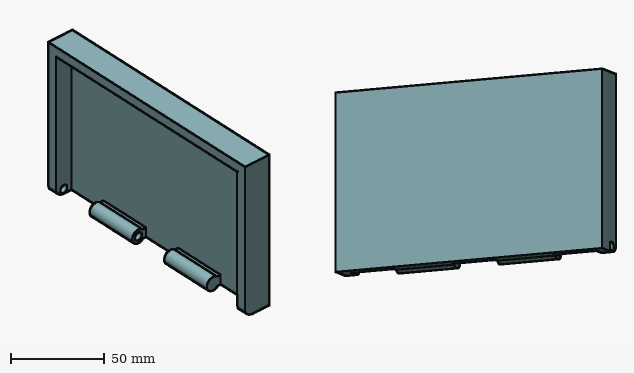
import cadquery as cq

width = 158.2
depth = 17.4
height = 99.2

wall = 6.3
recess_depth = 11.0
foot_radius = 5.0

barrel_drop = 1.5
barrel_radius = 4.5
barrel_length = 34.3
barrel_inset = 32.0
pin_diameter = 4.9
axis_y = 5.5
axis_z = barrel_radius - barrel_drop
neck_step = 1.3
neck_height = axis_z + barrel_radius - neck_step
frame_height = height - barrel_drop


def make_frame():
    """Panel with a rim on the top and both sides, open at the front and bottom."""
    block = cq.Workplane("XY").box(width, depth, frame_height, centered=False)
    block = block.edges("|X and <Y and <Z").fillet(foot_radius)
    recess = (
        cq.Workplane("XY")
        .box(width - 2 * wall, recess_depth, frame_height - wall, centered=False)
        .translate((wall, 0, 0))
    )
    return block.cut(recess)


def make_barrel(start_x):
    """Solid hinge barrel with a flat neck joining it to the panel."""
    barrel = (
        cq.Workplane("YZ", origin=(start_x, 0, 0))
        .center(axis_y, axis_z)
        .circle(barrel_radius)
        .extrude(barrel_length)
    )
    neck = (
        cq.Workplane("XY")
        .box(barrel_length, recess_depth - axis_y, neck_height, centered=False)
        .translate((start_x, axis_y, 0))
    )
    return barrel.union(neck)


result = make_frame()
for barrel_start in (barrel_inset, width - barrel_inset - barrel_length):
    result = result.union(make_barrel(barrel_start))

pin_hole = (
    cq.Workplane("YZ")
    .center(axis_y, axis_z)
    .circle(pin_diameter / 2)
    .extrude(barrel_inset + barrel_length)
)
result = result.cut(pin_hole)